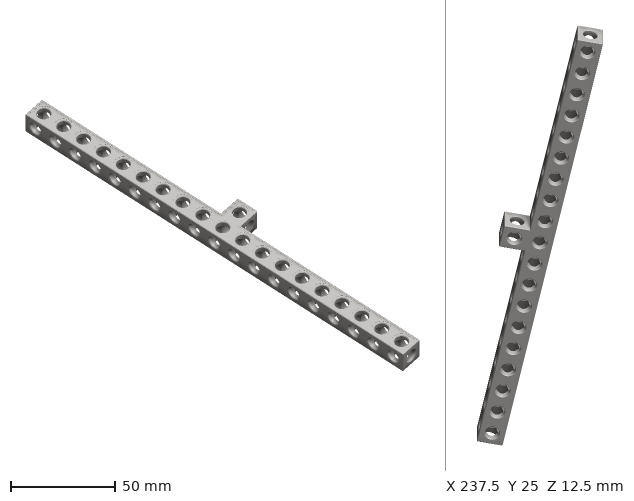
import cadquery as cq

length = 237.5
cell_count = 19
cell = length / cell_count
half_cell = cell / 2
edge_chamfer = 0.3

rim_width = 1.15
recess_depth = 0.12
floor_z = half_cell - recess_depth

hole_diameter = 7.0
hole_radius = hole_diameter / 2
hole_chamfer = 0.35
counterbore_diameter = 9.3
counterbore_depth = 0.12
counterbore_floor_z = floor_z - counterbore_depth

cell_centres = [(i - (cell_count - 1) / 2) * cell for i in range(cell_count)]
beam_y = -half_cell
arm_x = 0
arm_y = half_cell


def block(x_size, y_min, y_max):
    """Bar one cell tall, centred on X and Z, with all its edges broken."""
    return (
        cq.Workplane("XY")
        .box(x_size, y_max - y_min, cell)
        .translate((0, (y_min + y_max) / 2, 0))
        .edges()
        .chamfer(edge_chamfer)
    )


def body():
    """T-shaped bar; the arm reaches into the beam so that they blend flush."""
    beam = block(length, -cell, 0)
    arm = block(cell, beam_y, cell).translate((arm_x, 0, 0))
    return beam.union(arm).clean()


def top_recess():
    """T-shaped pocket set in from the outline by the rim width."""
    pocket_width = cell - 2 * rim_width
    beam_pocket = cq.Workplane("XY").box(length - 2 * rim_width, pocket_width, recess_depth)
    arm_pocket = cq.Workplane("XY").box(pocket_width, cell, recess_depth)
    pocket_z = half_cell - recess_depth / 2
    return (
        beam_pocket.translate((0, beam_y, pocket_z))
        .union(arm_pocket.translate((arm_x, arm_y - rim_width, pocket_z)))
    )


def chamfered_hole(start, direction, depth):
    """Through-hole cutter with a small countersink at both ends."""
    start = cq.Vector(*start)
    direction = cq.Vector(*direction)
    end = start + direction * depth
    mouth_radius = hole_radius + hole_chamfer
    bore = cq.Solid.makeCylinder(hole_radius, depth, start, direction)
    entry = cq.Solid.makeCone(mouth_radius, hole_radius, hole_chamfer, start, direction)
    exit_sink = cq.Solid.makeCone(mouth_radius, hole_radius, hole_chamfer, end, direction * -1)
    return cq.Workplane(bore.fuse(entry, exit_sink))


def counterbore(x, y):
    """Shallow round pocket around a vertical hole, below the recess floor."""
    return (
        cq.Workplane("XY", origin=(x, y, counterbore_floor_z))
        .circle(counterbore_diameter / 2)
        .extrude(counterbore_depth)
    )


result = body().cut(top_recess())

vertical_centres = [(x, beam_y) for x in cell_centres] + [(arm_x, arm_y)]
for x, y in vertical_centres:
    bore_depth = counterbore_floor_z + half_cell
    result = result.cut(chamfered_hole((x, y, -half_cell), (0, 0, 1), bore_depth))
    result = result.cut(counterbore(x, y))

for x in cell_centres:
    bore_depth = 2 * cell if x == arm_x else cell
    result = result.cut(chamfered_hole((x, -cell, 0), (0, 1, 0), bore_depth))

result = result.cut(chamfered_hole((-length / 2, beam_y, 0), (1, 0, 0), length))
result = result.cut(chamfered_hole((arm_x - half_cell, arm_y, 0), (1, 0, 0), cell))